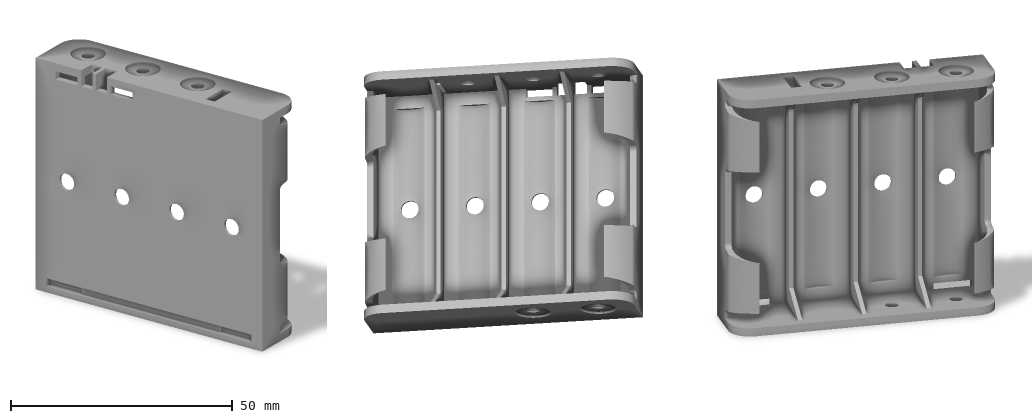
import cadquery as cq
import math


width = 62.0
depth = 15.0
height = 57.0
floor_thickness = 1.5
side_wall = 1.5
end_wall = 2.0
end_corner_radius = 5.0

cell_count = 4
rib_thickness = 1.0
cell_width = (width - 2 * side_wall - (cell_count - 1) * rib_thickness) / cell_count
cell_pitch = cell_width + rib_thickness
cell_radius = cell_width / 2
cell_axis_y = floor_thickness + cell_radius
cell_x = [side_wall + cell_radius + i * cell_pitch for i in range(cell_count)]
rib_x = [x + cell_pitch / 2 for x in cell_x[:-1]]

seat_floor = 0.5
seat_axis_y = seat_floor + cell_radius
seat_end_gap = 4.95

ledge_height = 7.0

rib_height = 5.0
gusset_top = 13.0
gusset_length = 4.95

clip_base_length = 15.0
clip_center = 11.5
clip_taper = math.radians(10)
clip_root_radius = 1.2
clip_bend_start = 9.5
clip_bend_radius = 2.0
clip_bend_angle = math.radians(34.5)
clip_arc_radius = 12.4

rivet_diameter = 3.0
rivet_recess_diameter = 8.0
rivet_recess_depth = 0.5
top_rivet_x = cell_x[:3]
bottom_rivet_x = cell_x[:2]
contact_slot_width = 2.5
contact_slot_start = 2.5
contact_slot_length = 7.0
contact_slot_x = rib_x[2]

vent_diameter = 4.0
window_height = 2.0
tab_window_width = 6.0
tab_window_x = cell_x[:2]
lead_notch_width = 3.0
lead_notch_depth = 4.1
jumper_margin = 3.0
jumper_window_width = 9.0
jumper_groove_bottom = 1.5
jumper_groove_height = 2.0
jumper_groove_depth = 1.0


def block(x0, x1, y0, y1, z0, z1):
    """Box between two opposite corners."""
    return cq.Workplane("XY").box(x1 - x0, y1 - y0, z1 - z0, centered=False).translate((x0, y0, z0))


def mirror_x(shape):
    """Copy of a shape on the opposite side of the case in X."""
    return shape.mirror("YZ", (width / 2, 0, 0))


def mirror_z(shape):
    """Copy of a shape at the opposite end of the case in Z."""
    return shape.mirror("XY", (0, 0, height / 2))


def end_plate():
    plate = block(0, width, 0, depth, 0, end_wall)
    return plate.edges("|Z and >Y").fillet(end_corner_radius)


def clip_wall():
    """Left side wall: flat at the bottom, then curling over the first cell and thinning to a lip."""
    bend_x = clip_bend_radius
    arc_offset = clip_arc_radius - clip_bend_radius
    arc_x = bend_x + arc_offset * math.cos(clip_bend_angle)
    arc_y = clip_bend_start - arc_offset * math.sin(clip_bend_angle)

    def on_bend(angle):
        return (bend_x - clip_bend_radius * math.cos(angle),
                clip_bend_start + clip_bend_radius * math.sin(angle))

    def on_arc(angle):
        return (arc_x - clip_arc_radius * math.cos(angle),
                arc_y + clip_arc_radius * math.sin(angle))

    def on_bore(angle):
        return (cell_x[0] - cell_radius * math.cos(angle),
                cell_axis_y + cell_radius * math.sin(angle))

    arc_end = math.asin((depth - arc_y) / clip_arc_radius)
    bore_end = math.asin((depth - cell_axis_y) / cell_radius)
    wall = (
        cq.Workplane("XY")
        .moveTo(0, 0)
        .lineTo(0, clip_bend_start)
        .threePointArc(on_bend(clip_bend_angle / 2), on_bend(clip_bend_angle))
        .threePointArc(on_arc((clip_bend_angle + arc_end) / 2), on_arc(arc_end))
        .lineTo(*on_bore(bore_end))
        .threePointArc(on_bore(bore_end / 2), on_bore(0))
        .lineTo(side_wall, 0)
        .close()
        .extrude(height)
    )
    return wall.intersect(clip_side_profile())


def clip_side_profile():
    """Side outline of a wall: a low ledge with one tapered clip near each end."""
    ledge = block(0, width, 0, ledge_height, 0, height)
    inset = (depth - ledge_height) * math.tan(clip_taper)
    base_start = clip_center - clip_base_length / 2
    base_end = clip_center + clip_base_length / 2
    clip = (
        cq.Workplane("YZ")
        .polyline([
            (0, base_start),
            (ledge_height, base_start),
            (depth, base_start + inset),
            (depth, base_end - inset),
            (ledge_height, base_end),
            (0, base_end),
        ])
        .close()
        .extrude(width)
    )
    profile = ledge.union(clip).union(mirror_z(clip))
    margin = 0.05
    root = cq.selectors.BoxSelector(
        (0, ledge_height - margin, end_wall),
        (width, ledge_height + margin, height - end_wall),
    )
    return profile.edges("|X").edges(root).fillet(clip_root_radius)


def rib(x):
    """Thin divider between two cells with a sloping gusset at each end."""
    outline = [
        (0, end_wall),
        (gusset_top, end_wall),
        (rib_height, end_wall + gusset_length),
        (rib_height, height - end_wall - gusset_length),
        (gusset_top, height - end_wall),
        (0, height - end_wall),
    ]
    divider = cq.Workplane("YZ").polyline(outline).close().extrude(rib_thickness)
    return divider.translate((x - rib_thickness / 2, 0, 0))


def rivet_hole(x):
    """Rivet hole through the bottom end wall, recessed on the outside."""
    plane = cq.Workplane("XY").center(x, cell_axis_y)
    hole = plane.circle(rivet_diameter / 2).extrude(end_wall)
    return hole.union(plane.circle(rivet_recess_diameter / 2).extrude(rivet_recess_depth))


def contact_slot():
    start = contact_slot_x - contact_slot_width / 2
    return block(start, start + contact_slot_width,
                 contact_slot_start, contact_slot_start + contact_slot_length,
                 height - end_wall, height)


def cell_seat(x):
    """Cylindrical trough in the floor under one cell."""
    start = cq.Workplane("XY", origin=(x, seat_axis_y, seat_end_gap))
    return start.circle(cell_radius).extrude(height - 2 * seat_end_gap)


def vent(x):
    hole = cq.Workplane("XZ").center(x, height / 2).circle(vent_diameter / 2)
    return hole.extrude(-floor_thickness)


def tab_window(x):
    """Opening through the floor just inside the top end wall."""
    top = height - end_wall
    half = tab_window_width / 2
    return block(x - half, x + half, 0, floor_thickness, top - window_height, top)


def lead_notch(x0):
    """Notch open at the back and top, running down past the end wall through the floor."""
    bottom = height - end_wall - window_height
    return block(x0, x0 + lead_notch_width, 0, lead_notch_depth, bottom, height)


def jumper_groove():
    """Groove across the back, opening through the floor at both ends."""
    top = jumper_groove_bottom + jumper_groove_height
    groove = block(jumper_margin, width - jumper_margin, 0, jumper_groove_depth,
                   jumper_groove_bottom, top)
    window = block(jumper_margin, jumper_margin + jumper_window_width,
                   0, floor_thickness, jumper_groove_bottom, top)
    return groove.union(window).union(mirror_x(window))


bottom_plate = end_plate()
left_wall = clip_wall()
holder = block(0, width, 0, floor_thickness, 0, height)
for part in [bottom_plate, mirror_z(bottom_plate), left_wall, mirror_x(left_wall)]:
    holder = holder.union(part)

for x in top_rivet_x:
    holder = holder.cut(mirror_z(rivet_hole(x)))
for x in bottom_rivet_x:
    holder = holder.cut(rivet_hole(x))
holder = holder.cut(contact_slot())

for x in cell_x:
    holder = holder.cut(cell_seat(x)).cut(vent(x))
for x in tab_window_x:
    holder = holder.cut(tab_window(x))
holder = holder.cut(lead_notch(rib_x[0] - rib_thickness / 2 - lead_notch_width))
holder = holder.cut(lead_notch(rib_x[0] + rib_thickness / 2))
holder = holder.cut(jumper_groove())

for x in rib_x:
    holder = holder.union(rib(x).cut(jumper_groove()))

result = holder